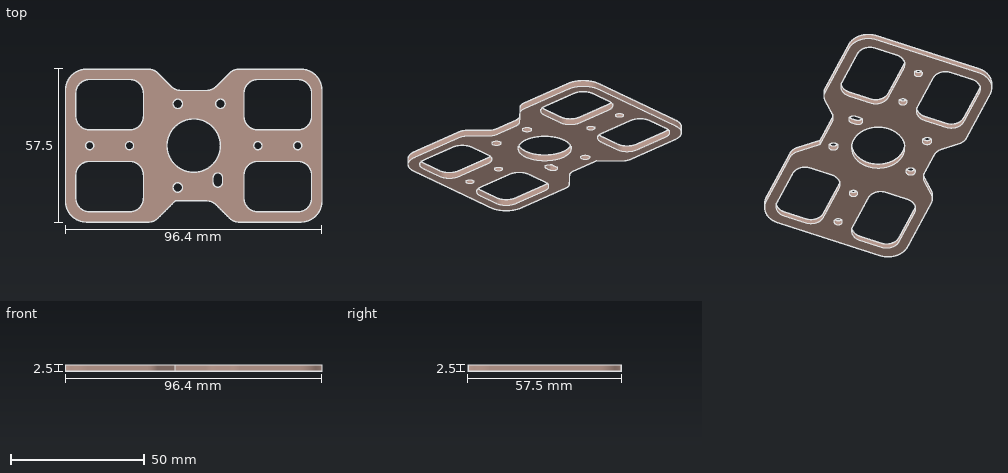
import cadquery as cq

length = 96.4
width = 57.55
thickness = 2.5
corner_radius = 8.0

waist_depth = 8.0
waist_half_length = 6.9
shoulder_radius = 5.0

rim = corner_radius / 2
window_length = 25.3
web_half_width = 6.0
window_radius = 5.0

bore_diameter = 20.0
rail_hole_diameter = 3.0
rail_hole_inner_x = 24.1
rail_hole_outer_x = 39.0
mount_hole_diameter = 3.5
mount_left_x = -6.0
mount_right_x = 10.0
mount_y = 15.7

slot_length = 5.3
slot_width = mount_hole_diameter
slot_x = 9.1
slot_y = -12.9

half_length = length / 2
half_width = width / 2
waist_y = half_width - waist_depth
shoulder_x = waist_half_length + waist_depth


def make_plate():
    """Waisted plate; the lower left inner waist corner stays sharp."""
    plate = (
        cq.Workplane("XY")
        .polyline([
            (-half_length, -half_width),
            (-shoulder_x, -half_width),
            (-waist_half_length, -waist_y),
            (waist_half_length, -waist_y),
            (shoulder_x, -half_width),
            (half_length, -half_width),
            (half_length, half_width),
            (shoulder_x, half_width),
            (waist_half_length, waist_y),
            (-waist_half_length, waist_y),
            (-shoulder_x, half_width),
            (-half_length, half_width),
        ])
        .close()
        .extrude(thickness)
    )
    outer_corners = [(sx * half_length, sy * half_width) for sx in (-1, 1) for sy in (-1, 1)]
    shoulders = [(sx * shoulder_x, sy * half_width) for sx in (-1, 1) for sy in (-1, 1)]
    waist_corners = [
        (-waist_half_length, waist_y),
        (waist_half_length, waist_y),
        (waist_half_length, -waist_y),
    ]
    plate = round_corners(plate, outer_corners, corner_radius)
    return round_corners(plate, shoulders + waist_corners, shoulder_radius)


def round_corners(body, corners, radius):
    """Fillet the vertical edges that stand at the given XY points."""
    edges = cq.Workplane("XY")
    for x, y in corners:
        nearest = cq.selectors.NearestToPointSelector((x, y, thickness / 2))
        edges = edges.add(body.edges("|Z").edges(nearest))
    return body.newObject(edges.vals()).fillet(radius)


def make_windows():
    window_width = half_width - rim - web_half_width
    center_x = half_length - rim - window_length / 2
    center_y = web_half_width + window_width / 2
    return (
        cq.Workplane("XY")
        .rect(2 * center_x, 2 * center_y, forConstruction=True)
        .vertices()
        .rect(window_length, window_width)
        .extrude(thickness)
        .edges("|Z")
        .fillet(window_radius)
    )


def make_holes(points, diameter):
    return cq.Workplane("XY").pushPoints(points).circle(diameter / 2).extrude(thickness)


def make_slot():
    return cq.Workplane("XY").center(slot_x, slot_y).slot2D(slot_length, slot_width, 90).extrude(thickness)


rail_points = [(side * x, 0) for side in (-1, 1) for x in (rail_hole_inner_x, rail_hole_outer_x)]
mount_points = [(mount_left_x, mount_y), (mount_right_x, mount_y), (mount_left_x, -mount_y)]

result = (
    make_plate()
    .cut(make_windows())
    .cut(make_holes([(0, 0)], bore_diameter))
    .cut(make_holes(rail_points, rail_hole_diameter))
    .cut(make_holes(mount_points, mount_hole_diameter))
    .cut(make_slot())
)